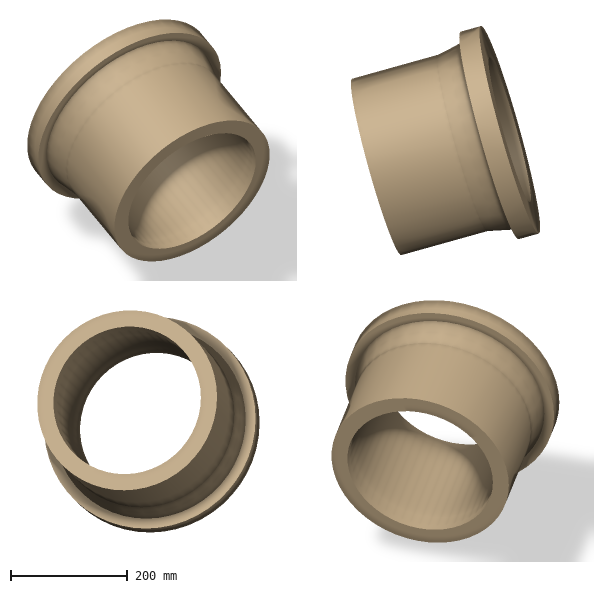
import cadquery as cq

flange_diameter = 370.0
flange_thickness = 36.0
neck_diameter = 335.2
pipe_diameter = 314.5
bore_diameter = 258.0
taper_length = 48.0
total_length = 238.0

flange_radius = flange_diameter / 2
neck_radius = neck_diameter / 2
pipe_radius = pipe_diameter / 2
bore_radius = bore_diameter / 2
taper_end = flange_thickness + taper_length

wall_profile = (
    cq.Workplane("XY")
    .moveTo(0, bore_radius)
    .lineTo(0, flange_radius)
    .lineTo(flange_thickness, flange_radius)
    .lineTo(flange_thickness, neck_radius)
    .lineTo(taper_end, pipe_radius)
    .lineTo(total_length, pipe_radius)
    .lineTo(total_length, bore_radius)
    .close()
)

result = wall_profile.revolve(360, (0, 0, 0), (1, 0, 0))